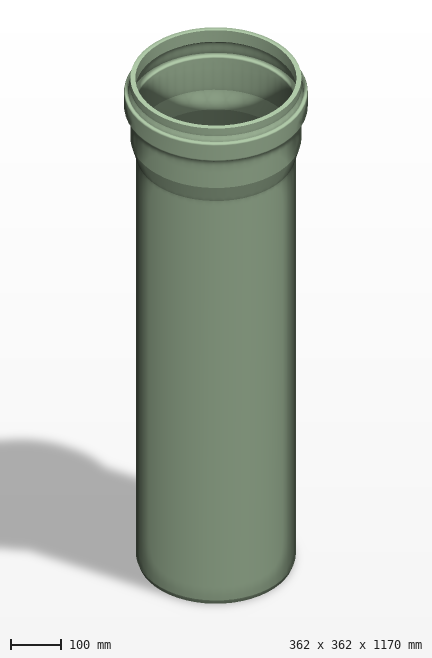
import cadquery as cq
import math

length = 1170.0
pipe_outer_d = 315.0
pipe_inner_d = 295.0
socket_outer_d = 337.0
socket_inner_d = 317.0
ring_outer_d = 362.0
groove_d = 343.0

taper_bottom = 985.0
taper_top = 1025.0
ring_bottom = 1096.0
ring_shoulder = 1141.0
ring_top = 1151.0

spigot_bevel_height = 10.0
spigot_bevel_width = 4.0
ring_bottom_round = 6.0
ring_top_round = 4.0
ring_cone_width = 5.0
groove_lip_round = 4.0

pipe_outer_r = pipe_outer_d / 2
pipe_inner_r = pipe_inner_d / 2
socket_outer_r = socket_outer_d / 2
socket_inner_r = socket_inner_d / 2
ring_outer_r = ring_outer_d / 2
groove_r = groove_d / 2
ring_wall = ring_outer_r - groove_r
groove_bottom = ring_bottom + ring_wall
groove_wall_top = ring_shoulder - ring_wall
groove_top = ring_top - ring_wall

DIAGONAL = math.sqrt(0.5)


def outer_body():
    """Bevelled spigot, pipe, taper, socket and raised ring with rounded edges."""
    lower_center_r = ring_outer_r - ring_bottom_round
    lower_center_z = ring_bottom + ring_bottom_round
    upper_center_r = ring_outer_r - ring_top_round
    upper_center_z = ring_shoulder - ring_top_round
    lower_mid = (
        lower_center_r + ring_bottom_round * DIAGONAL,
        lower_center_z - ring_bottom_round * DIAGONAL,
    )
    upper_mid = (
        upper_center_r + ring_top_round * DIAGONAL,
        upper_center_z + ring_top_round * DIAGONAL,
    )
    profile = (
        cq.Workplane("XZ")
        .lineTo(pipe_outer_r - spigot_bevel_width, 0)
        .lineTo(pipe_outer_r, spigot_bevel_height)
        .lineTo(pipe_outer_r, taper_bottom)
        .lineTo(socket_outer_r, taper_top)
        .lineTo(socket_outer_r, ring_bottom)
        .lineTo(lower_center_r, ring_bottom)
        .threePointArc(lower_mid, (ring_outer_r, lower_center_z))
        .lineTo(ring_outer_r, upper_center_z)
        .threePointArc(upper_mid, (upper_center_r, ring_shoulder))
        .lineTo(socket_outer_r + ring_cone_width, ring_shoulder)
        .lineTo(socket_outer_r, ring_top)
        .lineTo(socket_outer_r, length)
        .lineTo(0, length)
        .close()
    )
    return profile.revolve(360, (0, 0), (0, 1))


def bore():
    """Through bore, widening into the socket and its seal groove."""
    lip_center_r = socket_inner_r + groove_lip_round
    lip_center_z = groove_bottom - groove_lip_round
    lip_mid = (
        lip_center_r - groove_lip_round * DIAGONAL,
        lip_center_z + groove_lip_round * DIAGONAL,
    )
    profile = (
        cq.Workplane("XZ")
        .lineTo(pipe_inner_r, 0)
        .lineTo(pipe_inner_r, taper_bottom)
        .lineTo(socket_inner_r, taper_top)
        .lineTo(socket_inner_r, lip_center_z)
        .threePointArc(lip_mid, (lip_center_r, groove_bottom))
        .lineTo(groove_r, groove_bottom)
        .lineTo(groove_r, groove_wall_top)
        .lineTo(socket_inner_r, groove_top)
        .lineTo(socket_inner_r, length)
        .lineTo(0, length)
        .close()
    )
    return profile.revolve(360, (0, 0), (0, 1))


result = outer_body().cut(bore())